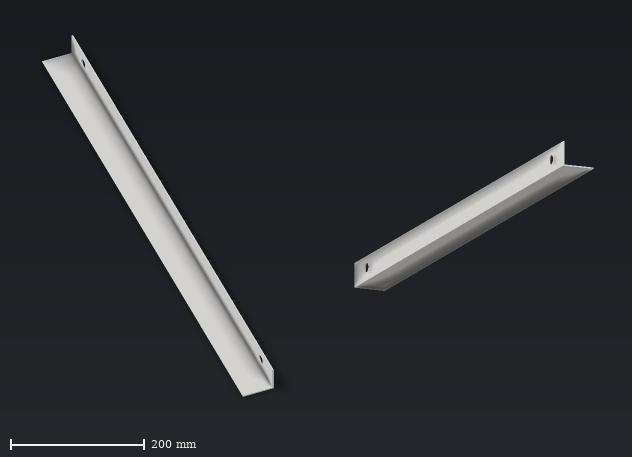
import cadquery as cq

length = 792.0
depth = 50.0
height = 38.0
sheet = 2.0

hole_diameter = 14.0
hole_end_distance = 46.0
hole_height = 20.0


def angle_strip():
    """Horizontal leg along the bottom, upright leg along the back (+Y) edge."""
    floor = cq.Workplane("XY").box(length, depth, sheet, centered=False)
    upright = (
        cq.Workplane("XY")
        .box(length, sheet, height, centered=False)
        .translate((0, depth - sheet, 0))
    )
    return floor.union(upright)


def mounting_holes():
    """Cylinders along Y, one near each end of the strip."""
    centers = [
        (hole_end_distance, hole_height),
        (length - hole_end_distance, hole_height),
    ]
    return (
        cq.Workplane("XZ")
        .pushPoints(centers)
        .circle(hole_diameter / 2)
        .extrude(-depth)
    )


result = angle_strip().cut(mounting_holes())